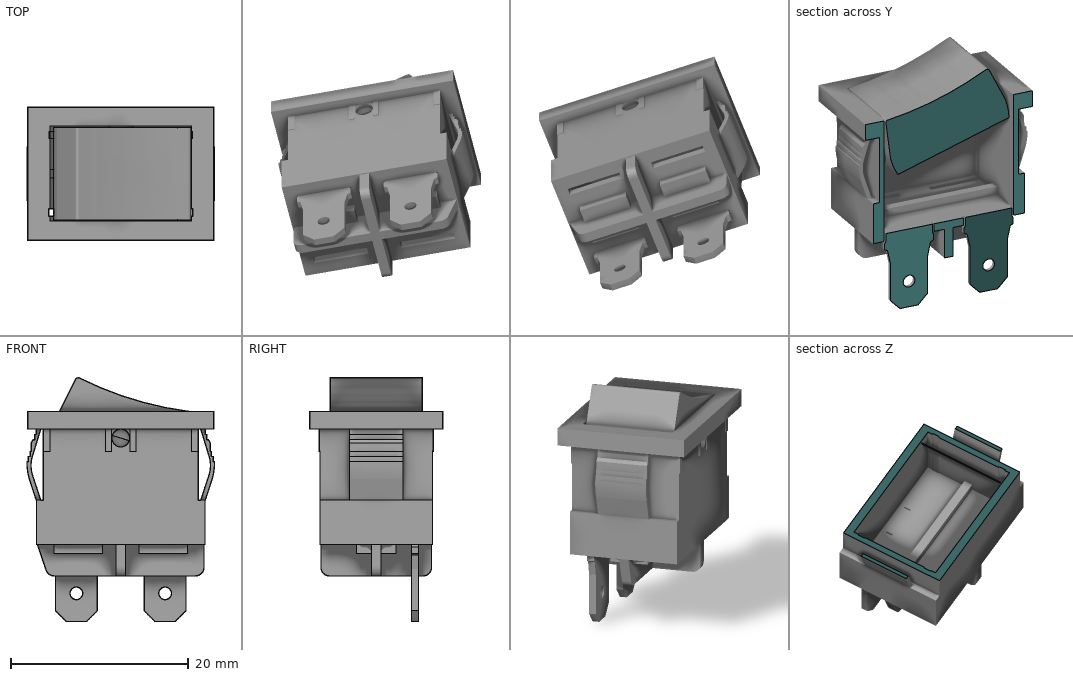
import cadquery as cq
import math


BEZEL_X = 21.0
BEZEL_Y = 15.0
BEZEL_HEIGHT = 2.0

UPPER_BODY_X = 17.5
LOWER_BODY_X = 19.0
BODY_Y = 12.7
STEP_Z = -8.0
BODY_BOTTOM_Z = -13.0
CAVITY_X = 16.0
CAVITY_Y = 10.7
FLOOR_THICKNESS = 1.0
FLOOR_Z = BODY_BOTTOM_Z + FLOOR_THICKNESS
FLOOR_RIB_WIDTH = 1.0
FLOOR_RIB_HEIGHT = 1.0

PAD_HEIGHT = 2.5
PAD_DEPTH = 0.1
END_PAD_WIDTH = 0.75
MIDDLE_PAD_WIDTH = 0.65
MIDDLE_PAD_X = 1.37

CLIP_WIDTH = 6.0
CLIP_ROOT_INNER_X = 9.0
CLIP_ROOT_OUTER_X = 9.53
CLIP_BOW_INNER_X = 10.1
CLIP_BOW_OUTER_X = 10.59
CLIP_BEND_INNER_X = 9.96
CLIP_BEND_OUTER_X = 10.3
CLIP_BEND_TOP_Z = -3.1
CLIP_BEND_BOTTOM_Z = -5.1
CLIP_BOW_TOP_Z = -3.67
CLIP_BOW_MIDDLE = (10.52, -4.68)
CLIP_BOW_BOTTOM_Z = -5.67
CLIP_GRIP_STEPS = [
    (CLIP_ROOT_OUTER_X, -0.58),
    (9.70, -0.58),
    (9.70, -1.17),
    (9.88, -1.17),
    (10.11, -1.55),
    (10.11, -2.50),
    (10.20, -2.50),
    (10.20, -3.07),
    (10.43, -3.07),
    (10.43, CLIP_BOW_TOP_Z),
]

RIB_THICKNESS = 1.1
RIB_BOTTOM_Z = -16.55
RIB_HALF_X = 9.4
RIB_HALF_Y = 6.25
RIB_SLANT_RUN = 1.2
RIB_CORNER_RADIUS = 1.0
FOOT_X = 5.5
FOOT_Y = 4.4
FOOT_HEIGHT = 1.0
FOOT_OFFSET = 4.78

TERMINAL_OFFSET = 5.0
TERMINAL_Y = 4.37
TERMINAL_THICKNESS = 0.8
TERMINAL_BOTTOM_Z = -21.7
BLADE_WIDTH = 4.75
BLADE_CHAMFER = 1.25
BLADE_HOLE_DIAMETER = 1.4
BLADE_HOLE_Z = -18.5
SLOT_WIDTH = 6.2
NECK_WIDTH = 5.9
BARB_TOP_Z = -13.27
BARB_BOTTOM_Z = -14.0
SLANT_TOP_Z = -14.2
SLANT_BOTTOM_Z = -15.8
SLANT_RUN = 0.35

PIVOT_Z = -1.0
ROCKER_TILT = 17.0
ROCKER_Y = 10.4
ROCKER_CORNER_X = 6.75
ROCKER_CORNER_HEIGHT = 5.18
ROCKER_RADIUS = 7.58
ROCKER_CREASE_HEIGHT = 0.38
ROCKER_BOTTOM_DEPTH = 2.0
ROCKER_EDGE_RADIUS = 0.35
DISH_RADIUS = 38.0
BOSS_DIAMETER = 2.8
PIN_DIAMETER = 2.0
PIN_LENGTH = 0.5
PIN_STEP = 0.2


def block(size_x, size_y, bottom_z, top_z, x=0.0, y=0.0):
    """Upright box centred on (x, y) between two heights."""
    height = top_z - bottom_z
    return cq.Workplane("XY").box(size_x, size_y, height, (True, True, False)).translate((x, y, bottom_z))


def plate(outline, thickness):
    """Extrude an outline drawn in the XZ plane evenly to both sides of Y = 0."""
    return outline.close().extrude(thickness / 2, both=True)


def make_shell():
    """Bezel and stepped body, without openings."""
    bezel = block(BEZEL_X, BEZEL_Y, 0, BEZEL_HEIGHT)
    upper = block(UPPER_BODY_X, BODY_Y, STEP_Z, 0)
    lower = block(LOWER_BODY_X, BODY_Y, BODY_BOTTOM_Z, STEP_Z)
    return bezel.union(upper).union(lower)


def make_pads():
    """Thin pads on the two long walls, just under the bezel."""
    end_x = (UPPER_BODY_X - END_PAD_WIDTH) / 2
    places = [
        (-end_x, END_PAD_WIDTH),
        (-MIDDLE_PAD_X, MIDDLE_PAD_WIDTH),
        (MIDDLE_PAD_X, MIDDLE_PAD_WIDTH),
        (end_x, END_PAD_WIDTH),
    ]
    wall_y = (BODY_Y + PAD_DEPTH) / 2
    pads = cq.Workplane("XY")
    for x, width in places:
        for y in (-wall_y, wall_y):
            pads = pads.add(block(width, PAD_DEPTH, -PAD_HEIGHT, 0, x, y))
    return pads


def make_clip():
    """Bowed spring clip with a stepped outer face, on the +X end wall."""
    bend_middle_z = (CLIP_BEND_TOP_Z + CLIP_BEND_BOTTOM_Z) / 2
    outline = cq.Workplane("XZ").moveTo(CLIP_ROOT_INNER_X, 0).lineTo(CLIP_ROOT_OUTER_X, 0)
    for x, z in CLIP_GRIP_STEPS:
        outline = outline.lineTo(x, z)
    outline = (
        outline.lineTo(CLIP_BOW_OUTER_X, CLIP_BOW_TOP_Z)
        .threePointArc(CLIP_BOW_MIDDLE, (CLIP_BEND_OUTER_X, CLIP_BOW_BOTTOM_Z))
        .lineTo(CLIP_ROOT_OUTER_X, STEP_Z)
        .lineTo(CLIP_ROOT_INNER_X, STEP_Z)
        .lineTo(CLIP_BEND_INNER_X, CLIP_BEND_BOTTOM_Z)
        .threePointArc((CLIP_BOW_INNER_X, bend_middle_z), (CLIP_BEND_INNER_X, CLIP_BEND_TOP_Z))
    )
    return plate(outline, CLIP_WIDTH)


def make_long_rib():
    """Rib along X with a slanted -X end and rounded lower corners."""
    outline = (
        cq.Workplane("XZ")
        .moveTo(-RIB_HALF_X, BODY_BOTTOM_Z)
        .lineTo(RIB_HALF_X, BODY_BOTTOM_Z)
        .lineTo(RIB_HALF_X, RIB_BOTTOM_Z)
        .lineTo(-RIB_HALF_X + RIB_SLANT_RUN, RIB_BOTTOM_Z)
    )
    rib = plate(outline, RIB_THICKNESS)
    return rib.faces("<Z").edges("|Y").fillet(RIB_CORNER_RADIUS)


def make_cross_rib():
    """Rib along Y with rounded lower corners."""
    rib = block(RIB_THICKNESS, 2 * RIB_HALF_Y, RIB_BOTTOM_Z, BODY_BOTTOM_Z)
    return rib.faces("<Z").edges("|X").fillet(RIB_CORNER_RADIUS)


def make_housing():
    housing = make_shell()
    for pad in make_pads().vals():
        housing = housing.union(cq.Workplane(pad))
    clip = make_clip()
    housing = housing.union(clip).union(clip.mirror("YZ"))
    housing = housing.union(make_long_rib()).union(make_cross_rib())
    for x in (-FOOT_OFFSET, FOOT_OFFSET):
        housing = housing.union(block(FOOT_X, FOOT_Y, BODY_BOTTOM_Z - FOOT_HEIGHT, BODY_BOTTOM_Z, x))

    housing = housing.cut(block(CAVITY_X, CAVITY_Y, FLOOR_Z, BEZEL_HEIGHT))
    housing = housing.union(block(CAVITY_X, FLOOR_RIB_WIDTH, FLOOR_Z, FLOOR_Z + FLOOR_RIB_HEIGHT))
    for x in (-TERMINAL_OFFSET, TERMINAL_OFFSET):
        for y in (-TERMINAL_Y, TERMINAL_Y):
            housing = housing.cut(block(SLOT_WIDTH, TERMINAL_THICKNESS, BODY_BOTTOM_Z, BEZEL_HEIGHT, x, y))
    pivot_hole = cq.Workplane("XZ").center(0, PIVOT_Z).circle(PIN_DIAMETER / 2).extrude(BODY_Y, both=True)
    return housing.cut(pivot_hole)


def make_rocker():
    crease_x = math.sqrt(ROCKER_RADIUS**2 - ROCKER_CREASE_HEIGHT**2)
    bottom_x = math.sqrt(ROCKER_RADIUS**2 - ROCKER_BOTTOM_DEPTH**2)
    dish_sag = DISH_RADIUS - math.sqrt(DISH_RADIUS**2 - ROCKER_CORNER_X**2)
    outline = (
        cq.Workplane("XZ")
        .moveTo(-bottom_x, -ROCKER_BOTTOM_DEPTH)
        .threePointArc((-ROCKER_RADIUS, 0), (-crease_x, ROCKER_CREASE_HEIGHT))
        .lineTo(-ROCKER_CORNER_X, ROCKER_CORNER_HEIGHT)
        .threePointArc((0, ROCKER_CORNER_HEIGHT - dish_sag), (ROCKER_CORNER_X, ROCKER_CORNER_HEIGHT))
        .lineTo(crease_x, ROCKER_CREASE_HEIGHT)
        .threePointArc((ROCKER_RADIUS, 0), (bottom_x, -ROCKER_BOTTOM_DEPTH))
    )
    rocker = plate(outline, ROCKER_Y)
    rocker = rocker.edges("|Y").edges(">Z").fillet(ROCKER_EDGE_RADIUS)

    bosses = cq.Workplane("XZ").circle(BOSS_DIAMETER / 2).extrude(CAVITY_Y / 2, both=True)
    pin_end_y = CAVITY_Y / 2 + PIN_LENGTH
    pins = cq.Workplane("XZ").circle(PIN_DIAMETER / 2).extrude(pin_end_y, both=True)
    step_y = pin_end_y - PIN_STEP / 2
    for y in (-step_y, step_y):
        pins = pins.cut(block(PIN_DIAMETER, PIN_STEP, -PIN_DIAMETER / 2, 0, 0, y))

    rocker = rocker.union(bosses).union(pins)
    return rocker.rotate((0, 0, 0), (0, 1, 0), ROCKER_TILT).translate((0, 0, PIVOT_Z))


def make_terminal(x):
    """Flat blade with a barbed shoulder and a neck that stands in a floor slot."""
    half_blade = BLADE_WIDTH / 2
    right_side = [
        (NECK_WIDTH / 2, FLOOR_Z),
        (NECK_WIDTH / 2, BODY_BOTTOM_Z),
        (SLOT_WIDTH / 2, BARB_TOP_Z),
        (SLOT_WIDTH / 2, BARB_BOTTOM_Z),
        (half_blade + SLANT_RUN, SLANT_TOP_Z),
        (half_blade, SLANT_BOTTOM_Z),
        (half_blade, TERMINAL_BOTTOM_Z + BLADE_CHAMFER),
        (half_blade - BLADE_CHAMFER, TERMINAL_BOTTOM_Z),
    ]
    left_side = [(-px, pz) for px, pz in reversed(right_side)]
    blade = plate(cq.Workplane("XZ").polyline(right_side + left_side), TERMINAL_THICKNESS)
    hole = (
        cq.Workplane("XZ")
        .center(0, BLADE_HOLE_Z)
        .circle(BLADE_HOLE_DIAMETER / 2)
        .extrude(TERMINAL_THICKNESS, both=True)
    )
    return blade.cut(hole).translate((x, TERMINAL_Y, 0))


housing = make_housing()
rocker = make_rocker()
terminals = [make_terminal(x).val() for x in (-TERMINAL_OFFSET, TERMINAL_OFFSET)]

result = cq.Compound.makeCompound([housing.val(), rocker.val(), *terminals])